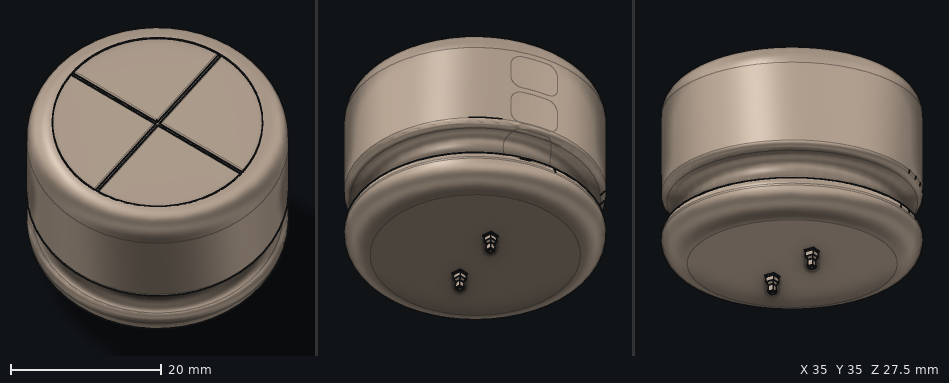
import cadquery as cq
import math

body_radius = 17.5
body_height = 25.0
rim_radius = 3.5
waist_height = 6.93
waist_groove_radius = 2.17
waist_blend_radius = 1.22

recess_depth = 0.18
top_flat_radius = body_radius - rim_radius
channel_floor_width = 0.35
channel_edge_radius = 0.25
recess_height = body_height - recess_depth

pad_width = 7.0
pad_height = 5.05
pad_corner_radius = 1.58
pad_pitch = 5.78
lowest_pad_center = 6.72
pad_reach = 5.25
pad_count = 3

pin_center = (-4.83, 0.18)
shaft_side = 1.22
pin_turn = 22
root_side = 1.47
root_depth = 0.2
shoulder_depth = 0.9
neck_depth = 1.35
neck_side = 0.75
foot_side = 0.85
foot_depth = 2.3
tip_side = 0.65
pin_length = 2.52


def make_body():
    """Revolve the body profile: rounded rims and a waist groove blended into the side."""
    blend_center_radius = body_radius - waist_blend_radius
    center_distance = waist_groove_radius + waist_blend_radius
    blend_rise = math.sqrt(center_distance**2 - waist_blend_radius**2)
    groove_share = waist_groove_radius / center_distance
    tangent_radius = body_radius - waist_blend_radius * groove_share
    tangent_rise = blend_rise * groove_share
    mid_angle = -math.acos(waist_blend_radius / center_distance) / 2
    mid_radius = blend_center_radius + waist_blend_radius * math.cos(mid_angle)
    mid_rise = blend_rise + waist_blend_radius * math.sin(mid_angle)
    rim_inset = rim_radius * (1 - math.cos(math.pi / 4))

    groove_bottom = (body_radius - waist_groove_radius, waist_height)
    lower_tangent = (tangent_radius, waist_height - tangent_rise)
    upper_tangent = (tangent_radius, waist_height + tangent_rise)

    return (
        cq.Workplane("XZ")
        .lineTo(top_flat_radius, 0)
        .threePointArc((body_radius - rim_inset, rim_inset), (body_radius, rim_radius))
        .lineTo(body_radius, waist_height - blend_rise)
        .threePointArc((mid_radius, waist_height - mid_rise), lower_tangent)
        .threePointArc(groove_bottom, upper_tangent)
        .threePointArc((mid_radius, waist_height + mid_rise), (body_radius, waist_height + blend_rise))
        .lineTo(body_radius, body_height - rim_radius)
        .threePointArc((body_radius - rim_inset, body_height - rim_inset), (top_flat_radius, body_height))
        .lineTo(0, body_height)
        .close()
        .revolve(360, (0, 0), (0, 1))
    )


def make_recess():
    return cq.Workplane("XY", origin=(0, 0, recess_height)).circle(top_flat_radius).extrude(recess_depth)


def make_channels():
    """Return two crossed channels with convex quarter-round edges, ending at the recess wall."""
    half_floor = channel_floor_width / 2
    half_top = half_floor + channel_edge_radius
    floor = recess_height - channel_edge_radius
    edge_mid = channel_edge_radius * (1 - math.cos(math.pi / 4))
    channel = (
        cq.Workplane("XZ")
        .moveTo(-half_top, recess_height)
        .threePointArc((-half_floor - edge_mid, recess_height - edge_mid), (-half_floor, floor))
        .lineTo(half_floor, floor)
        .threePointArc((half_floor + edge_mid, recess_height - edge_mid), (half_top, recess_height))
        .close()
        .extrude(top_flat_radius, both=True)
    )
    cross = channel.union(channel.rotate((0, 0, 0), (0, 0, 1), 90))
    disc = cq.Workplane("XY", origin=(0, 0, floor)).circle(top_flat_radius).extrude(channel_edge_radius)
    return cross.intersect(disc)


def make_pads():
    """Return blocks that cover the pad areas on the -X half of the body."""
    centers = [(0, lowest_pad_center + i * pad_pitch) for i in range(pad_count)]
    return (
        cq.Workplane("YZ", origin=(-body_radius, 0, 0))
        .pushPoints(centers)
        .rect(pad_width, pad_height)
        .extrude(pad_reach)
        .edges("|X")
        .fillet(pad_corner_radius)
    )


def make_pin():
    """Stack square frustums downwards: flared root, shaft, shoulder, neck, foot tip."""
    sections = [
        (0, root_side),
        (root_depth, shaft_side),
        (shoulder_depth, shaft_side),
        (neck_depth, neck_side),
        (foot_depth, foot_side),
        (pin_length, tip_side),
    ]
    pin = cq.Workplane("XY")
    for (upper_depth, upper_side), (lower_depth, lower_side) in zip(sections, sections[1:]):
        frustum = (
            cq.Workplane("XY", origin=(0, 0, -upper_depth))
            .rect(upper_side, upper_side)
            .workplane(offset=upper_depth - lower_depth)
            .rect(lower_side, lower_side)
            .loft(ruled=True)
        )
        pin = pin.union(frustum)
    return pin.rotate((0, 0, 0), (0, 0, 1), pin_turn).translate((*pin_center, 0))


pin = make_pin()
body = make_body().cut(make_recess()).cut(make_channels())
body = body.union(pin).union(pin.rotate((0, 0, 0), (0, 0, 1), 180))

pads = make_pads()
inlays = body.intersect(pads)
result = body.cut(pads).union(inlays, clean=False)